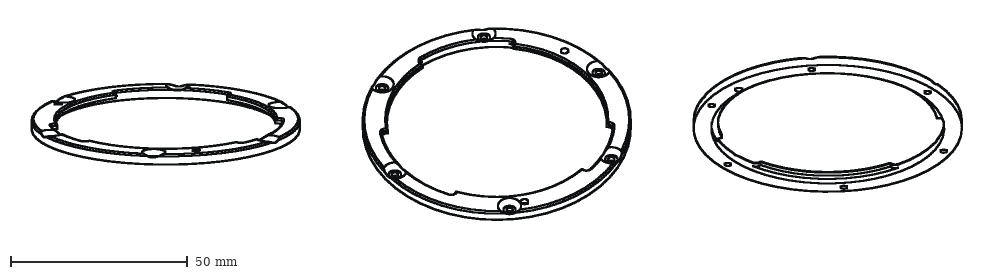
import cadquery as cq
import math

outer_diameter = 76.0
thickness = 3.0
edge_chamfer = 0.5

wide_radius = 33.0
lip_radius = 31.1
lip_thickness = 1.5
lip_corner_fillet = 1.3
recess_spans = [(15.5, 66.5), (121.5, 182.5), (255.0, 291.5)]

screw_count = 6
screw_circle_radius = 35.6
screw_hole_diameter = 1.8
screw_seat_diameter = 3.5
countersink_diameter = 6.6
countersink_depth = (countersink_diameter - screw_seat_diameter) / 2
first_screw_angle = 30.0

locating_hole_diameter = 2.1
through_hole_radius = 34.2
through_hole_angle = -10.0
blind_hole_radius = 34.5
blind_hole_angle = 217.3
blind_hole_depth = 1.5
drill_point_depth = 0.6


def polar(radius, angle):
    """Point at a radius and an angle in degrees."""
    turn = math.radians(angle)
    return radius * math.cos(turn), radius * math.sin(turn)


def recess_cutter(start, end):
    """Sector that widens the bore between two lips, with rounded outer corners."""
    middle = (start + end) / 2
    root_radius = lip_radius / 2
    sector = (
        cq.Workplane("XY")
        .moveTo(*polar(root_radius, start))
        .lineTo(*polar(wide_radius, start))
        .threePointArc(polar(wide_radius, middle), polar(wide_radius, end))
        .lineTo(*polar(root_radius, end))
        .threePointArc(polar(root_radius, middle), polar(root_radius, start))
        .close()
        .extrude(thickness)
    )
    outer_corners = [
        cq.selectors.NearestToPointSelector((*polar(wide_radius, angle), thickness / 2))
        for angle in (start, end)
    ]
    return sector.edges(outer_corners[0] + outer_corners[1]).fillet(lip_corner_fillet)


def screw_cutter():
    """Through hole with a conical seat, centred on the Z axis."""
    return (
        cq.Workplane("XZ")
        .lineTo(screw_hole_diameter / 2, 0)
        .lineTo(screw_hole_diameter / 2, thickness - countersink_depth)
        .lineTo(screw_seat_diameter / 2, thickness - countersink_depth)
        .lineTo(countersink_diameter / 2, thickness)
        .lineTo(0, thickness)
        .close()
        .revolve(360, (0, 0), (0, 1))
    )


def blind_hole_cutter():
    """Flat-sided hole ending in a cone, centred on the Z axis."""
    wall_bottom = thickness - blind_hole_depth
    return (
        cq.Workplane("XZ")
        .moveTo(0, wall_bottom - drill_point_depth)
        .lineTo(locating_hole_diameter / 2, wall_bottom)
        .lineTo(locating_hole_diameter / 2, thickness)
        .lineTo(0, thickness)
        .close()
        .revolve(360, (0, 0), (0, 1))
    )


ring = cq.Workplane("XY").circle(outer_diameter / 2).circle(lip_radius).extrude(thickness)
for span_start, span_end in recess_spans:
    ring = ring.cut(recess_cutter(span_start, span_end))

ring = ring.faces(">Z").edges().chamfer(edge_chamfer)

ring = ring.cut(cq.Workplane("XY").circle(wide_radius).extrude(thickness - lip_thickness))

for index in range(screw_count):
    screw_angle = first_screw_angle + index * 360 / screw_count
    ring = ring.cut(screw_cutter().translate((*polar(screw_circle_radius, screw_angle), 0)))

through_hole = cq.Workplane("XY").circle(locating_hole_diameter / 2).extrude(thickness)
ring = ring.cut(through_hole.translate((*polar(through_hole_radius, through_hole_angle), 0)))
ring = ring.cut(blind_hole_cutter().translate((*polar(blind_hole_radius, blind_hole_angle), 0)))

result = ring